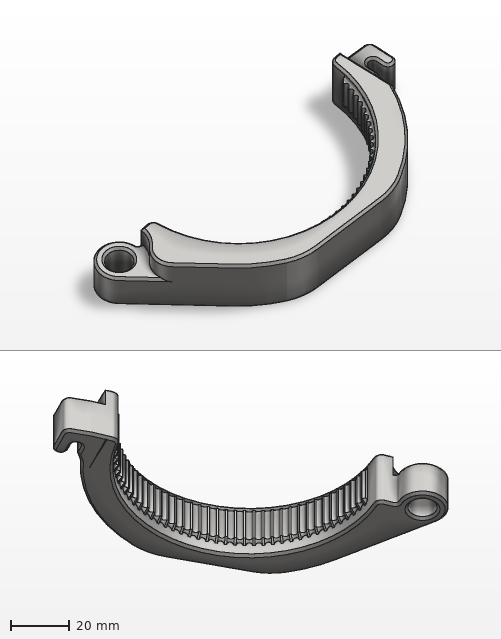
import cadquery as cq
import math


BODY_HEIGHT = 22.0
EYE_HEIGHT = 14.0
HOOK_HEIGHT = 15.6
EDGE_CHAMFER = 1.0

OUTER_RADIUS = 58.2
INNER_RADIUS = 47.0
END_X = 1.0
INNER_CORNER_RADIUS = 2.8
HOOK_STEP_Y = 53.0
HOOK_STEP_INNER_Y = 52.5
FLAT_DISTANCE = 54.3
FLAT_ANGLE = -4.9
FLAT_BLEND_RADIUS = 25.0
LAYER_OVERLAP = 2.1

EYE_CENTER = (0.0, -63.3)
EYE_RADIUS = 8.8
HOLE_DIAMETER = 10.0
EYE_CLEARANCE_RADIUS = 10.5
EYE_NOSE_RADIUS = 8.0
EYE_CORNER_RADIUS = 1.4

HOOK_TOP_Y = 67.1
HOOK_X = 1.7
HOOK_CORNER_RADIUS = 2.8
HOOK_TAPER_Y = 57.6
HOOK_TIP_X = 14.9
SLOT_TOP_Y = 62.1
SLOT_BOTTOM_Y = 58.2
SLOT_END_X = 7.5
SLOT_LIP_X = 13.0
HOOK_BASE_X = 16.5

TEETH_TIP_RADIUS = 45.4
TEETH_ROOT_RADIUS = 46.4
TEETH_TOP = 20.5
TEETH_BOTTOM = 4.6
TEETH_TIP_BOTTOM = 6.7
TEETH_PITCH = 4.0
GROOVE_RADIUS = 1.3
GROOVES_PER_SIDE = 20
TEETH_HALF_ANGLE = 79.7


def polar(radius, angle, center=(0.0, 0.0)):
    """Point at an angle in degrees around a centre."""
    turn = math.radians(angle)
    return (center[0] + radius * math.cos(turn), center[1] + radius * math.sin(turn))


def arc_to(outline, center, radius, start, end):
    """Continue an outline with an arc between two angles in degrees."""
    return outline.threePointArc(polar(radius, (start + end) / 2, center), polar(radius, end, center))


def angle_of(point, center=(0.0, 0.0)):
    return math.degrees(math.atan2(point[1] - center[1], point[0] - center[0]))


def other_leg(hypotenuse, leg):
    return math.sqrt(hypotenuse**2 - leg**2)


def layer(outline, height):
    """Upright plate with its top and bottom edges chamfered."""
    return outline.extrude(height).faces("<Z or >Z").edges().chamfer(EDGE_CHAMFER)


SIDE_ANGLE = -math.degrees(math.asin((OUTER_RADIUS - EYE_RADIUS) / -EYE_CENTER[1]))


def make_body():
    """Full-height arm: outer arc with a blended flat, eye scoop at one end, straight riser at the other."""
    blend_distance = OUTER_RADIUS - FLAT_BLEND_RADIUS
    blend_spread = math.degrees(math.acos((FLAT_DISTANCE - FLAT_BLEND_RADIUS) / blend_distance))
    upper_blend_angle = FLAT_ANGLE + blend_spread
    lower_blend_angle = FLAT_ANGLE - blend_spread
    upper_blend = polar(blend_distance, upper_blend_angle)
    lower_blend = polar(blend_distance, lower_blend_angle)

    nose_inset = EYE_RADIUS - EYE_NOSE_RADIUS
    nose_along = other_leg(EYE_CLEARANCE_RADIUS + EYE_NOSE_RADIUS, nose_inset)
    nose = polar(nose_along, SIDE_ANGLE + 90, polar(nose_inset, SIDE_ANGLE, EYE_CENTER))
    nose_angle = angle_of(nose, EYE_CENTER)
    scoop_end_x = END_X - EYE_CENTER[0]
    scoop_end_angle = math.degrees(math.acos(scoop_end_x / EYE_CLEARANCE_RADIUS))

    corner_x = END_X + INNER_CORNER_RADIUS
    corner_y = other_leg(INNER_RADIUS + INNER_CORNER_RADIUS, corner_x)
    corner_angle = angle_of((corner_x, corner_y))

    step_x = other_leg(OUTER_RADIUS, HOOK_STEP_Y)
    step_angle = angle_of((step_x, HOOK_STEP_Y))

    outline = cq.Workplane().moveTo(END_X, HOOK_STEP_INNER_Y).lineTo(step_x, HOOK_STEP_Y)
    outline = arc_to(outline, (0, 0), OUTER_RADIUS, step_angle, upper_blend_angle)
    outline = arc_to(outline, upper_blend, FLAT_BLEND_RADIUS, upper_blend_angle, FLAT_ANGLE)
    outline = outline.lineTo(*polar(FLAT_BLEND_RADIUS, FLAT_ANGLE, lower_blend))
    outline = arc_to(outline, lower_blend, FLAT_BLEND_RADIUS, FLAT_ANGLE, lower_blend_angle)
    outline = arc_to(outline, (0, 0), OUTER_RADIUS, lower_blend_angle, SIDE_ANGLE)
    outline = outline.lineTo(*polar(EYE_NOSE_RADIUS, SIDE_ANGLE, nose))
    outline = arc_to(outline, nose, EYE_NOSE_RADIUS, SIDE_ANGLE, nose_angle - 180)
    outline = arc_to(outline, EYE_CENTER, EYE_CLEARANCE_RADIUS, nose_angle, scoop_end_angle)
    outline = outline.lineTo(END_X, -corner_y)
    outline = arc_to(outline, (corner_x, -corner_y), INNER_CORNER_RADIUS, 180, 180 - corner_angle)
    outline = arc_to(outline, (0, 0), INNER_RADIUS, -corner_angle, corner_angle)
    outline = arc_to(outline, (corner_x, corner_y), INNER_CORNER_RADIUS, corner_angle - 180, -180)
    return layer(outline.close(), BODY_HEIGHT)


def make_eye():
    """Low hinge eye with a bored hole, running under the arm."""
    corner_x = END_X - EYE_CORNER_RADIUS
    corner_rise = other_leg(EYE_RADIUS + EYE_CORNER_RADIUS, corner_x - EYE_CENTER[0])
    corner = (corner_x, EYE_CENTER[1] + corner_rise)
    corner_angle = angle_of(corner, EYE_CENTER)
    buried_y = EYE_CENTER[1] + EYE_CLEARANCE_RADIUS + LAYER_OVERLAP

    outline = cq.Workplane().moveTo(END_X, buried_y).lineTo(END_X, corner[1])
    outline = arc_to(outline, corner, EYE_CORNER_RADIUS, 0, corner_angle - 180)
    outline = arc_to(outline, EYE_CENTER, EYE_RADIUS, corner_angle, 360 + SIDE_ANGLE)
    outline = outline.lineTo(*polar(OUTER_RADIUS, SIDE_ANGLE))
    outline = outline.close().moveTo(*EYE_CENTER).circle(HOLE_DIAMETER / 2)
    return layer(outline, EYE_HEIGHT)


def make_hook():
    """Hook with a side-opening slot and a rounded tip, running under the arm."""
    buried_y = HOOK_STEP_Y - LAYER_OVERLAP
    tip_radius = (HOOK_TOP_Y - SLOT_TOP_Y) / 2
    tip = (HOOK_TIP_X - tip_radius, HOOK_TOP_Y - tip_radius)
    slot_radius = (SLOT_TOP_Y - SLOT_BOTTOM_Y) / 2
    slot = (SLOT_END_X + slot_radius, SLOT_TOP_Y - slot_radius)
    corner = (HOOK_X + HOOK_CORNER_RADIUS, HOOK_TOP_Y - HOOK_CORNER_RADIUS)
    base_angle = math.degrees(math.acos(HOOK_BASE_X / OUTER_RADIUS))
    buried_angle = math.degrees(math.asin(buried_y / OUTER_RADIUS))

    outline = cq.Workplane().moveTo(END_X, buried_y).lineTo(END_X, HOOK_TAPER_Y).lineTo(HOOK_X, corner[1])
    outline = arc_to(outline, corner, HOOK_CORNER_RADIUS, 180, 90)
    outline = outline.lineTo(tip[0], HOOK_TOP_Y)
    outline = arc_to(outline, tip, tip_radius, 90, -90)
    outline = outline.lineTo(slot[0], SLOT_TOP_Y)
    outline = arc_to(outline, slot, slot_radius, 90, 270)
    outline = outline.lineTo(SLOT_LIP_X, SLOT_BOTTOM_Y).lineTo(*polar(OUTER_RADIUS, base_angle))
    outline = arc_to(outline, (0, 0), OUTER_RADIUS, base_angle, buried_angle)
    return layer(outline.close(), HOOK_HEIGHT)


def make_teeth():
    """Band of grip teeth on the inner wall, filleted into it above and sloping out to it below."""
    depth = INNER_RADIUS - TEETH_TIP_RADIUS
    fillet_center = (TEETH_TIP_RADIUS, TEETH_TOP)
    profile = cq.Workplane("XZ").moveTo(INNER_RADIUS, TEETH_BOTTOM)
    profile = profile.lineTo(TEETH_TIP_RADIUS, TEETH_TIP_BOTTOM).lineTo(TEETH_TIP_RADIUS, TEETH_TOP - depth)
    profile = arc_to(profile, fillet_center, depth, -90, 0).close()
    band = profile.revolve(2 * TEETH_HALF_ANGLE, (0, 0), (0, 1))
    band = band.rotate((0, 0, 0), (0, 0, 1), -TEETH_HALF_ANGLE)

    groove_x = TEETH_ROOT_RADIUS - GROOVE_RADIUS
    groove_start = cq.Workplane(origin=(groove_x, 0, TEETH_TIP_BOTTOM))
    upright = groove_start.circle(GROOVE_RADIUS).extrude(TEETH_TOP - TEETH_TIP_BOTTOM)
    slope_path = cq.Workplane("XZ").moveTo(groove_x, TEETH_TIP_BOTTOM).lineTo(groove_x + depth, TEETH_BOTTOM)
    sloped = groove_start.circle(GROOVE_RADIUS).sweep(slope_path)
    groove = upright.union(sloped)
    for step in range(-GROOVES_PER_SIDE, GROOVES_PER_SIDE + 1):
        band = band.cut(groove.rotate((0, 0, 0), (0, 0, 1), step * TEETH_PITCH))
    return band


result = make_body().union(make_eye()).union(make_hook()).union(make_teeth())